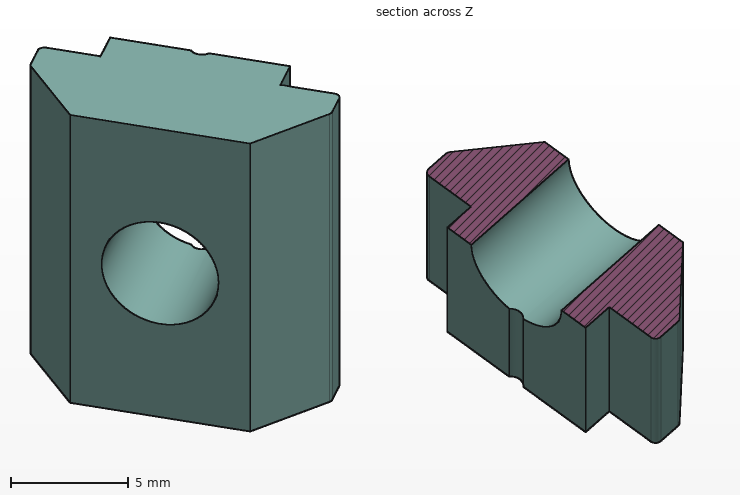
import cadquery as cq

WIDTH = 13.4
THICKNESS = 6.2
LENGTH = 14.8

NECK_WIDTH = 8.0
NECK_HEIGHT = 1.5
FRONT_WIDTH = 8.0
FLANK_HEIGHT = 3.2
EDGE_RADIUS = 0.3

GROOVE_RADIUS = 0.5
GROOVE_DEPTH = 0.2

HOLE_DIAMETER = 5.2

FRONT_Y = -THICKNESS / 2
BACK_Y = THICKNESS / 2
SHOULDER_Y = BACK_Y - NECK_HEIGHT
FLANK_TOP_Y = FRONT_Y + FLANK_HEIGHT
BOTTOM_Z = -LENGTH / 2


def make_body():
    """T-slot nut section, extruded along Z, with its long outer edges rounded."""
    right_side = [
        (FRONT_WIDTH / 2, FRONT_Y),
        (WIDTH / 2, FLANK_TOP_Y),
        (WIDTH / 2, SHOULDER_Y),
        (NECK_WIDTH / 2, SHOULDER_Y),
        (NECK_WIDTH / 2, BACK_Y),
    ]
    left_side = [(-x, y) for x, y in reversed(right_side)]
    outline = cq.Workplane("XY", origin=(0, 0, BOTTOM_Z)).polyline(right_side + left_side).close()
    body = outline.extrude(LENGTH)
    return body.faces("<X or >X").edges("|Z").fillet(EDGE_RADIUS)


def make_groove():
    """Cylinder that cuts the shallow groove along the neck face."""
    centre_y = BACK_Y + GROOVE_RADIUS - GROOVE_DEPTH
    return cq.Workplane("XY", origin=(0, centre_y, BOTTOM_Z)).circle(GROOVE_RADIUS).extrude(LENGTH)


def make_hole():
    """Cylinder for the through hole along Y, centred on the nut."""
    return cq.Workplane("XZ", origin=(0, BACK_Y, 0)).circle(HOLE_DIAMETER / 2).extrude(THICKNESS)


result = make_body().cut(make_groove()).cut(make_hole())